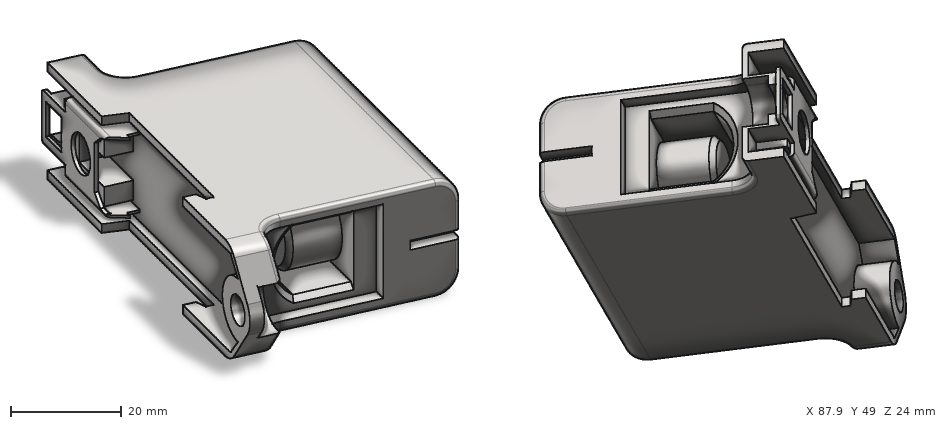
import cadquery as cq
import math


width = 24.0
half_width = width / 2
depth = 49.0
foot_left = 2.5
tower_left = 13.45
tower_right = 73.75
tower_middle = (tower_left + tower_right) / 2
foot_depth = 7.8
foot_blend = 4.9
cover_radius = 5.0
edge_round = 1.05

ear_length = 87.9
ear_hole_x = 82.8
ear_hole_radius = 3.0
ear_tip_radius = ear_length - ear_hole_x
ear_shoulder_x = 79.8
ear_shoulder_radius = 4.9
boss_radius = 6.5
ear_seat_radius = 5.7
seat_height = 2.9

rim = 1.85
cavity_depth = 6.7
cavity_half_width = half_width - rim
cavity_corner_x = 79.7
cavity_nose = (82.9, 6.4)

rail_depth = 5.1
rail_left_front = 25.3
rail_left_back = 26.3
rail_right = 59.6
rail_lip_right = 62.0
rail_lip_low = 2.6
rail_lip_high = 3.5

recess_depth = 2.9
recess_half_width = 9.7
recess_top = 33.5
window_half_width = 8.3
window_top = 28.9
window_spring = 16.9
window_bottom = 12.3
window_taper = 1.1
screw_radius = 7.0
screw_bottom = 18.0
screw_chamfer = 1.05
screw_setback = 14.8

groove_half_width = 1.0
groove_bottom = 38.9
groove_depth = recess_depth

guide_left = 8.0
guide_right = 24.7
guide_half_width = 7.0
channel_left = 14.15
slot_half_width = 3.0
slot_center_x = 5.2
slot_seat_radius = 4.9
slot_boss_half_width = 5.45

sheet = 0.8
clip_left = 9.9
clip_half_width = 8.3
clip_flange = 0.5
clip_bend = 1.05
clip_inner_bend = 0.6
clip_plate_end = 22.3
clip_plate_end_half = 5.1
clip_bevel_end = 24.8
clip_bevel_end_half = 7.2
clip_hole_x = 16.5
clip_hole_radius = 4.0
hook_front = 26.4
hook_tip = (28.65, 4.1)
hook_back = 27.4
tongue_half_width = 5.45
tongue_corner = 0.9
tongue_window_left = 1.8
tongue_window_right = 8.35
tongue_window_half = 3.6

pick_margin = 0.1


def box(x0, x1, y0, y1, half_z):
    """Block centred on Z = 0."""
    corner = cq.Workplane("XY", origin=(x0, y0, 0))
    return corner.box(x1 - x0, y1 - y0, 2 * half_z, centered=(False, False, True))


def at_y(y):
    """Sketch plane parallel to the mounting plane; negative extrusion runs toward +Y."""
    return cq.Workplane("XZ", origin=(0, y, 0))


def cylinder_y(x, radius, y0, y1):
    """Cylinder along Y on the plane Z = 0."""
    return at_y(y0).center(x, 0).circle(radius).extrude(y0 - y1)


def edge_zone(x0, x1, y0, y1):
    """Selector for edges centred between the given X and Y limits, slightly widened."""
    low = (x0 - pick_margin, y0 - pick_margin, -width)
    high = (x1 + pick_margin, y1 + pick_margin, width)
    return cq.selectors.BoxSelector(low, high)


def ear_tangent_point():
    """Point where the flank from the shoulder touches the ear tip circle."""
    dx = ear_shoulder_x - ear_hole_x
    reach = math.hypot(dx, half_width)
    angle = math.atan2(half_width, dx) - math.acos(ear_tip_radius / reach)
    return ear_hole_x + ear_tip_radius * math.cos(angle), ear_tip_radius * math.sin(angle)


def make_foot():
    """Base slab: square at the left, tapering to the rounded ear at the right."""
    tangent_x, tangent_z = ear_tangent_point()
    slab = (
        at_y(0)
        .moveTo(foot_left, -half_width)
        .lineTo(ear_shoulder_x, -half_width)
        .lineTo(tangent_x, -tangent_z)
        .threePointArc((ear_length, 0), (tangent_x, tangent_z))
        .lineTo(ear_shoulder_x, half_width)
        .lineTo(foot_left, half_width)
        .close()
        .extrude(-foot_depth)
    )
    shoulders = edge_zone(ear_shoulder_x, ear_shoulder_x, 0, depth)
    return slab.edges("|Y").edges(shoulders).fillet(ear_shoulder_radius)


def make_shell():
    """Solid outer form of the housing with all its rounded edges."""
    tower = box(tower_left, tower_right, 0, depth, half_width)
    shell = tower.edges("|X and >Y").fillet(cover_radius).union(make_foot())
    for x in (tower_left, tower_right):
        inner_corner = edge_zone(x, x, foot_depth, foot_depth)
        shell = shell.edges("|Z").edges(inner_corner).fillet(foot_blend)
    left_edges = edge_zone(foot_left + 2 * pick_margin, tower_left, foot_depth, depth)
    right_edges = edge_zone(tower_right, ear_length, foot_depth, depth)
    for zone in (left_edges, right_edges):
        shell = shell.edges("not |Z").edges(zone).fillet(edge_round)
    return shell


def make_cavity():
    """Shallow space behind the mounting plane, leaving the ear boss standing."""
    nose_x, nose_z = cavity_nose
    cavity = (
        at_y(0)
        .moveTo(foot_left, -cavity_half_width)
        .lineTo(cavity_corner_x, -cavity_half_width)
        .lineTo(nose_x, -nose_z)
        .lineTo(nose_x, nose_z)
        .lineTo(cavity_corner_x, cavity_half_width)
        .lineTo(foot_left, cavity_half_width)
        .close()
        .extrude(-cavity_depth)
    )
    return cavity.cut(cylinder_y(ear_hole_x, boss_radius, 0, cavity_depth))


def make_rail_notch():
    """Rail notch with a sloped left flank and an undercut lip at the right."""
    profile = [
        (rail_left_front, 0),
        (rail_left_back, rail_depth),
        (rail_lip_right, rail_depth),
        (rail_lip_right, rail_lip_high),
        (rail_right, rail_lip_low),
        (rail_right, 0),
    ]
    return cq.Workplane("XY").polyline(profile).close().extrude(half_width, both=True)


def make_ear_hole():
    """Screw hole through the ear, counterbored from the outer face."""
    hole = cylinder_y(ear_hole_x, ear_hole_radius, 0, foot_depth)
    return hole.union(cylinder_y(ear_hole_x, ear_seat_radius, seat_height, foot_depth))


def window_outline(x, inset):
    """Opening outline in the plane X = x, shrunk by inset except at its flat top."""
    rise = window_spring - window_bottom
    arc_radius = (window_half_width**2 + rise**2) / (2 * rise) - inset
    arc_center = window_bottom + inset + arc_radius
    half = window_half_width - inset
    spring = arc_center - math.sqrt(arc_radius**2 - half**2)
    return (
        cq.Workplane("YZ", origin=(x, 0, 0))
        .moveTo(window_top, -half)
        .lineTo(spring, -half)
        .threePointArc((window_bottom + inset, 0), (spring, half))
        .lineTo(window_top, half)
        .close()
    )


def make_end_cuts():
    """Recess, bevelled window, half tunnel and marking groove of the left tower end."""
    window_x = tower_left + recess_depth
    tunnel_x = window_x + window_taper
    recess = box(foot_left, window_x, foot_depth, recess_top, recess_half_width)
    opening = window_outline(window_x, 0)
    narrowed = window_outline(tunnel_x, window_taper)
    bevel = cq.Solid.makeLoft([opening.val(), narrowed.val()], True)
    tunnel = narrowed.extrude(tower_middle - tunnel_x)
    screw = cylinder_y(tower_left + screw_setback, screw_radius, screw_bottom, window_top)
    screw = screw.faces("<Y").chamfer(screw_chamfer)
    groove = box(tower_left, tower_left + groove_depth, groove_bottom, depth, groove_half_width)
    return recess.union(cq.Workplane(bevel)).union(tunnel.cut(screw)).union(groove)


def make_guide():
    """Block that carries the clip, with its spring channel and the left screw slot boss."""
    block = box(guide_left, guide_right, sheet, cavity_depth, guide_half_width)
    channel = box(channel_left, guide_right, sheet, cavity_depth, slot_half_width)
    boss = box(foot_left, guide_left, sheet, cavity_depth, slot_boss_half_width)
    return block.cut(channel).union(boss)


def make_slot():
    """Screw slot open toward the left end, with a wider seat for the screw head."""

    def open_slot(half_z, y0, y1):
        straight = box(foot_left, slot_center_x, y0, y1, half_z)
        return straight.union(cylinder_y(slot_center_x, half_z, y0, y1))

    seat = open_slot(slot_seat_radius, seat_height, foot_depth)
    return open_slot(slot_half_width, 0, foot_depth).union(seat)


def make_clip():
    """U-shaped sheet clip with a hooked right end and a windowed pull tongue."""
    channel = box(clip_left, hook_tip[0], 0, cavity_depth, clip_half_width)
    channel = channel.edges("|X and <Y").fillet(clip_bend)
    inner_half = clip_half_width - clip_flange
    inside = box(clip_left, hook_tip[0], sheet, cavity_depth, inner_half)
    channel = channel.cut(inside.edges("|X and <Y").fillet(clip_inner_bend))

    hook_profile = [
        (clip_left, 0),
        (hook_front, 0),
        hook_tip,
        (hook_back, hook_tip[1]),
        (hook_back, cavity_depth),
        (clip_left, cavity_depth),
    ]
    clip = channel.intersect(cq.Workplane("XY").polyline(hook_profile).close().extrude(width, both=True))

    plate_end = [
        (clip_plate_end, -clip_plate_end_half),
        (clip_bevel_end, -clip_bevel_end_half),
        (hook_front, -inner_half),
        (hook_tip[0], -inner_half),
        (hook_tip[0], inner_half),
        (hook_front, inner_half),
        (clip_bevel_end, clip_bevel_end_half),
        (clip_plate_end, clip_plate_end_half),
    ]
    clip = clip.cut(at_y(0).polyline(plate_end).close().extrude(-sheet - clip_inner_bend))
    clip = clip.cut(cylinder_y(clip_hole_x, clip_hole_radius, 0, sheet))

    tongue = box(0, clip_left, 0, sheet, tongue_half_width)
    tongue = tongue.edges("|Y and <X").fillet(tongue_corner)
    tongue = tongue.cut(box(tongue_window_left, tongue_window_right, 0, sheet, tongue_window_half))
    return clip.union(tongue)


housing = make_shell().cut(make_cavity()).cut(make_rail_notch())
housing = housing.union(make_guide()).cut(make_ear_hole()).cut(make_slot())

end_cuts = make_end_cuts()
housing = housing.cut(end_cuts).cut(end_cuts.mirror("YZ", (tower_middle, 0, 0)))

result = housing.union(make_clip())